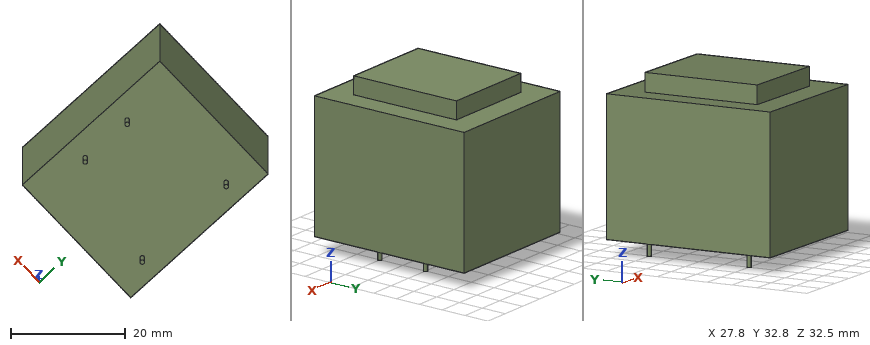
import cadquery as cq


case_length_x = 27.8
case_width_y = 32.8
case_height = 26.0

raised_length_x = 18.7
raised_width_y = 22.5
raised_height = 3.5

pin_diameter = 0.8
pin_length = 3.0
wide_spacing = 20.0
narrow_spacing = wide_spacing / 2
row_spacing = wide_spacing

pin_rows = [(-row_spacing / 2, wide_spacing), (row_spacing / 2, narrow_spacing)]


def make_case():
    """Rectangular case with the centred raised block as one solid."""
    base = cq.Workplane("XY").rect(case_length_x, case_width_y).extrude(case_height)
    return base.faces(">Z").workplane().rect(raised_length_x, raised_width_y).extrude(raised_height)


def make_pin(x, y):
    """Round pin reaching down from the underside of the case."""
    return cq.Workplane("XY").center(x, y).circle(pin_diameter / 2).extrude(-pin_length)


case = make_case()

pins = []
for row_x, pair_spacing in pin_rows:
    for side in (-1, 1):
        pins.append(make_pin(row_x, side * pair_spacing / 2))

result = cq.Compound.makeCompound([case.val(), *[pin.val() for pin in pins]])